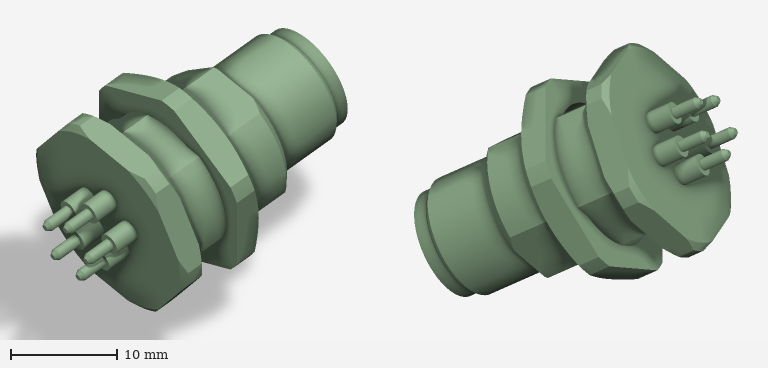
import cadquery as cq
import math


plug_tip_y = 25.8
plug_radius = 12.0 / 2
lip_radius = 10.8 / 2
lip_length = 1.35
lip_cone_length = 0.65
neck_radius = 6.4
neck_cone_length = 0.45

body_front_y = 16.3
body_radius = 8.0
body_chamfer = 0.82
flat_to_axis = 6.75
flat_directions = (90, 135, 270, 315)

across_flats = 19.0
corner_radius = 10.5

nut_bore_radius = 7.25
nut_rear_y = 7.65
nut_thickness = 2.85
nut_face_radius = 9.45
nut_chamfer_length = 0.55

flange_thickness = 2.7
flange_face_radius = 9.85
flange_chamfer_length = 0.47
collar_length = 0.35
collar_rear_radius = 9.1
collar_front_radius = 8.6

contact_count = 5
contact_circle_radius = 2.95
sleeve_radius = 2.2 / 2
sleeve_length = 2.55
pin_radius = 1.2 / 2
pin_length = 5.6
pin_tip_radius = 0.32
pin_tip_length = 0.47


def revolved(profile):
    """Turn a closed (radius, y) profile about the Y axis."""
    return cq.Workplane("XY").polyline(profile).close().revolve(360, (0, 0, 0), (0, 1, 0))


def plane_at(y):
    """Workplane across the axis at the given y; its extrusions grow toward +Y."""
    return cq.Workplane(cq.Plane(origin=(0, y, 0), xDir=(1, 0, 0), normal=(0, 1, 0)))


def hexagon(rear_y, thickness, turn):
    """Hexagonal prism along Y; with no turn two corners lie on the X axis."""
    corner_diameter = across_flats / math.cos(math.pi / 6)
    prism = plane_at(rear_y).polygon(6, corner_diameter).extrude(thickness)
    return prism.rotate((0, 0, 0), (0, 1, 0), turn)


def make_plug():
    lip_rear_y = plug_tip_y - lip_length
    return revolved([
        (0, body_front_y),
        (neck_radius, body_front_y),
        (plug_radius, body_front_y + neck_cone_length),
        (plug_radius, lip_rear_y - lip_cone_length),
        (lip_radius, lip_rear_y),
        (lip_radius, plug_tip_y),
        (0, plug_tip_y),
    ])


def make_body():
    body = revolved([
        (0, 0),
        (body_radius, 0),
        (body_radius, body_front_y - body_chamfer),
        (body_radius - body_chamfer, body_front_y),
        (0, body_front_y),
    ])
    block_width = 2 * body_radius
    for direction in flat_directions:
        cutter = cq.Workplane("XY").box(
            block_width, body_front_y, block_width, centered=(False, False, True)
        )
        cutter = cutter.translate((flat_to_axis, 0, 0))
        body = body.cut(cutter.rotate((0, 0, 0), (0, 1, 0), -direction))
    return body


def make_nut():
    nut_front_y = nut_rear_y + nut_thickness
    envelope = revolved([
        (nut_bore_radius, nut_rear_y),
        (corner_radius, nut_rear_y),
        (corner_radius, nut_front_y - nut_chamfer_length),
        (nut_face_radius, nut_front_y),
        (nut_bore_radius, nut_front_y),
    ])
    return hexagon(nut_rear_y, nut_thickness, 30).intersect(envelope)


def make_flange():
    envelope = revolved([
        (0, 0),
        (flange_face_radius, 0),
        (corner_radius, flange_chamfer_length),
        (corner_radius, flange_thickness - flange_chamfer_length),
        (flange_face_radius, flange_thickness),
        (0, flange_thickness),
    ])
    return hexagon(0, flange_thickness, 0).intersect(envelope)


def make_collar():
    collar_front_y = flange_thickness + collar_length
    return revolved([
        (0, 0),
        (collar_rear_radius, 0),
        (collar_rear_radius, flange_thickness),
        (collar_front_radius, collar_front_y),
        (0, collar_front_y),
    ])


def make_contact():
    """One sleeve and pin, on the Y axis and rooted in the flange."""
    return revolved([
        (0, flange_thickness),
        (sleeve_radius, flange_thickness),
        (sleeve_radius, -sleeve_length),
        (pin_radius, -sleeve_length),
        (pin_radius, pin_tip_length - pin_length),
        (pin_tip_radius, -pin_length),
        (0, -pin_length),
    ])


result = make_body().union(make_plug()).union(make_nut()).union(make_flange()).union(make_collar())

for index in range(contact_count):
    contact = make_contact().translate((0, 0, contact_circle_radius))
    result = result.union(contact.rotate((0, 0, 0), (0, 1, 0), index * 360 / contact_count))